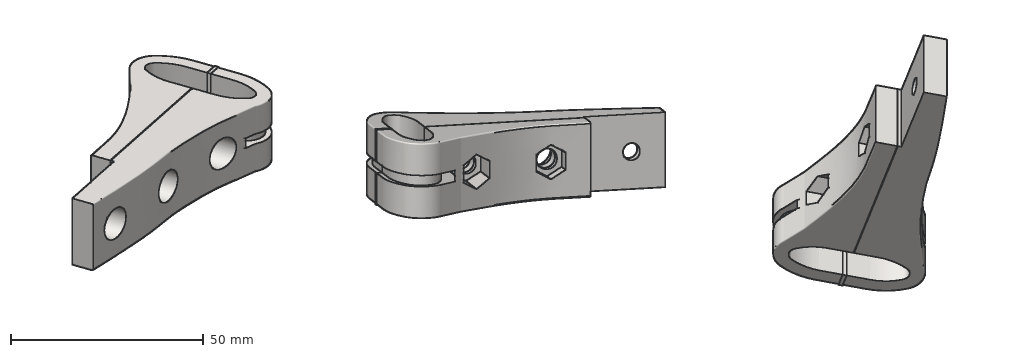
import cadquery as cq
import math

height = 20.0
length = 78.25
edge_round = 0.4

ring_width = 40.6
ring_wall = 4.1

opening_half_width = ring_width / 2 - ring_wall
opening_half_height = 4.45
opening_half_flat = 6.9
opening_end_radius = 2.5
ring_top_y = opening_half_height + ring_wall

end_centre_x = opening_half_width - opening_end_radius
centre_run = end_centre_x - opening_half_flat
shoulder_radius = (centre_run ** 2 + opening_half_height ** 2 - opening_end_radius ** 2) / (
    2 * (opening_half_height - opening_end_radius))
shoulder_centre_y = opening_half_height - shoulder_radius
blend_angle = math.atan2(-shoulder_centre_y, centre_run)

web_half_width = 0.55
web_lip = 0.04

flank_angle = math.radians(-39)
left_flank_bend = (-14.95, -10.3)
right_flank_bend = (16.6, -10.8)
left_flank_curve = [(-10.7, -19.4), (-7.6, -27.85), (-6.1, -35.2), (-5.9, -40.7)]
right_flank_curve = [(9.4, -56.2), (10.9, -42.25), (11.3, -34.5), (12.05, -28.6), (13.7, -20.1)]
left_end_x = -5.9
tip_y = ring_top_y + web_lip - length
tip_x = 7.3

split_gap = 0.15
shoulder_y = -47.65
tail_face_x = 1.0

channel_width = 3.0
channel_inner_offset = 2.35
channel_outer_offset = 6.2
channel_shift_y = 0.2

clamp_screw_ys = (-15.1, -36.9)
tail_screw_y = -60.6
clamp_hole_diameter = 5.5
tail_hole_diameter = 4.5
head_diameter = 9.0
head_floor_x = 3.9
nut_across_flats = 8.0
nut_floor_x = -2.0

reach = 78.25


def end_point(offset, angle):
    """Point on the right-hand end arc of the oval grown outward by an offset."""
    radius = opening_end_radius + offset
    return (end_centre_x + radius * math.cos(angle), radius * math.sin(angle))


def shoulder_midpoint(offset):
    """Middle of the upper right shoulder arc of the oval grown outward by an offset."""
    radius = shoulder_radius + offset
    angle = (blend_angle + math.pi / 2) / 2
    return (opening_half_flat + radius * math.cos(angle), shoulder_centre_y + radius * math.sin(angle))


def mirror_x(point):
    return (-point[0], point[1])


def upper_oval(offset, last_angle):
    """Oval from its left end over the top to its right end, stopping at an angle on the end arcs."""
    last = end_point(offset, last_angle)
    middle = end_point(offset, (blend_angle + last_angle) / 2)
    blend = end_point(offset, blend_angle)
    shoulder = shoulder_midpoint(offset)
    flat = (opening_half_flat, opening_half_height + offset)
    return (
        cq.Workplane("XY")
        .moveTo(*mirror_x(last))
        .threePointArc(mirror_x(middle), mirror_x(blend))
        .threePointArc(mirror_x(shoulder), mirror_x(flat))
        .lineTo(*flat)
        .threePointArc(shoulder, blend)
        .threePointArc(middle, last)
    )


def prism(outline, depth):
    """Extrude an outline symmetrically about mid height."""
    return outline.extrude(depth).translate((0, 0, -depth / 2))


def oval_prism(offset, depth):
    upper = prism(upper_oval(offset, 0).close(), depth)
    return upper.union(upper.mirror("XZ"))


def blank():
    """Ring, flanks and tail in one piece, with rounded side edges."""
    outline = (
        upper_oval(ring_wall, flank_angle)
        .lineTo(*right_flank_bend)
        .spline(right_flank_curve[::-1] + [(tip_x, tip_y)], includeCurrent=True)
        .lineTo(tail_face_x, tip_y)
        .lineTo(tail_face_x, shoulder_y)
        .lineTo(left_end_x, shoulder_y)
        .spline(left_flank_curve[::-1] + [left_flank_bend], includeCurrent=True)
        .close()
    )
    body = prism(outline, height - 2 * web_lip)
    straight_ends = cq.selectors.BoxSelector(
        (left_end_x / 2, tip_y - 0.8, -height), (tip_x / 2 + 0.8, shoulder_y + 0.8, height))
    return body.faces("|Z").edges().edges(cq.selectors.InverseSelector(straight_ends)).fillet(edge_round)


def strap_channel():
    loop = oval_prism(channel_outer_offset, channel_width).cut(
        oval_prism(channel_inner_offset, channel_width))
    return loop.translate((0, channel_shift_y, 0))


def rod(y, diameter, start_x, length_x):
    return cq.Workplane("YZ", origin=(start_x, y, 0)).circle(diameter / 2).extrude(length_x)


def screw_holes():
    """Through holes, head counterbores on the right and nut pockets on the left."""
    holes = rod(tail_screw_y, tail_hole_diameter, -reach, 2 * reach)
    for y in clamp_screw_ys:
        holes = holes.union(rod(y, clamp_hole_diameter, -reach, 2 * reach))
        nut = (
            cq.Workplane("YZ", origin=(nut_floor_x, y, 0))
            .polygon(6, nut_across_flats, circumscribed=True)
            .extrude(-reach)
        )
        holes = holes.union(nut)
    for y in (*clamp_screw_ys, tail_screw_y):
        holes = holes.union(rod(y, head_diameter, head_floor_x, reach))
    return holes


def box(x_min, x_max, y_min, y_max, depth=2 * height):
    return (
        cq.Workplane("XY")
        .box(x_max - x_min, y_max - y_min, depth)
        .translate(((x_min + x_max) / 2, (y_min + y_max) / 2, 0))
    )


clamp = blank().cut(oval_prism(0, height)).cut(strap_channel()).cut(screw_holes())


def left_half():
    lower = box(-reach, -split_gap / 2, -reach, 0)
    upper = box(-reach, -web_half_width, 0, reach)
    return clamp.intersect(lower.union(upper))


def right_half():
    """Right part, which also carries the square-edged web."""
    lower = box(split_gap / 2, reach, -reach, 0)
    upper = box(web_half_width, reach, 0, reach)
    web = box(-web_half_width, web_half_width, opening_half_height - web_lip, ring_top_y + web_lip, height)
    return clamp.intersect(lower.union(upper)).union(web).cut(strap_channel())


result = cq.Compound.makeCompound([left_half().val(), right_half().val()])